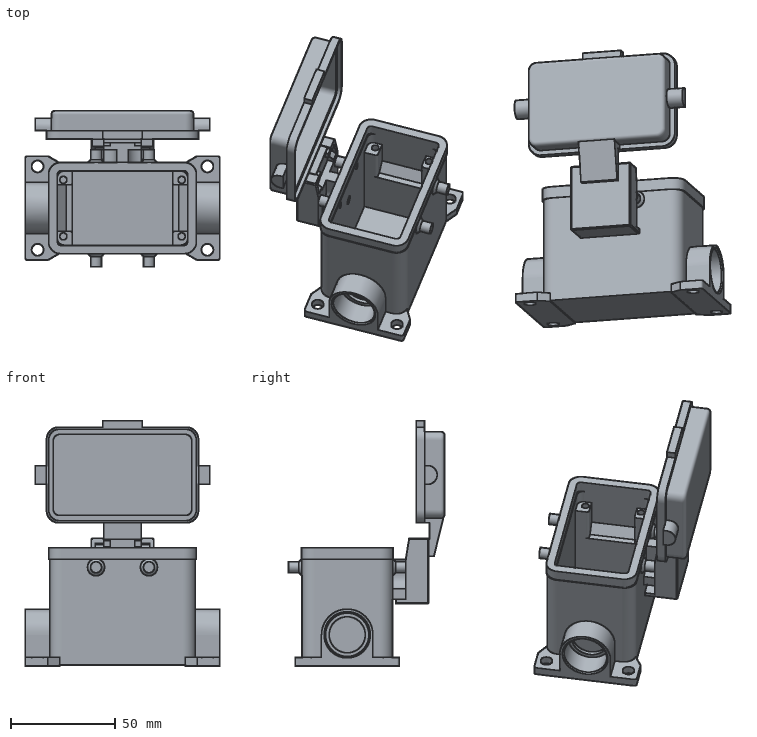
import cadquery as cq

BODY_LENGTH = 70.0
BODY_WIDTH = 43.5
BODY_BOTTOM = 0.45
BODY_HEIGHT = 56.8
RIM_HEIGHT = 5.6
RIM_END_OVERHANG = 0.5
RIM_SIDE_OVERHANG = 0.25
RIM_BOTTOM = BODY_HEIGHT - RIM_HEIGHT
RIM_LENGTH = BODY_LENGTH + 2 * RIM_END_OVERHANG
RIM_WIDTH = BODY_WIDTH + 2 * RIM_SIDE_OVERHANG
CORNER_RADIUS = 6.0

CAVITY_LENGTH = 62.5
CAVITY_WIDTH = 35.4
CAVITY_FLOOR = 3.5
CAVITY_RADIUS = 3.0
MOUTH_WIDTH = 36.0
MOUTH_RADIUS = 2.0

FOOT_SPAN_X = 93.5
FOOT_SPAN_Y = 50.0
FOOT_THICKNESS = 4.1
FOOT_SHOULDER_X = 35.8
FOOT_ROOT_X = 30.2
FOOT_CORNER_RADIUS = 1.2
FOOT_HOLE_DIAMETER = 5.6
FOOT_HOLE_X = 40.75
FOOT_HOLE_Y = 20.0

ENTRY_RADIUS = 12.35
ENTRY_Z = 15.0
ENTRY_BORE_RADIUS = 10.4
ENTRY_CHAMFER = 0.7
ENTRY_BORE_DEPTH = (FOOT_SPAN_X - BODY_LENGTH) / 2
KNOCKOUT_RADIUS = 8.65
KNOCKOUT_DEPTH = 2.0

POST_INNER_X = 24.0
POST_INNER_Y = 11.1
POST_TOP = 44.7
POST_EDGE_RADIUS = 1.2
POST_EMBEDDING = 2.0
POST_HOLE_DIAMETER = 3.4
POST_HOLE_DEPTH = 12.0
POST_HOLE_X = 28.4
POST_HOLE_Y = 13.55
BLOCK_TOP = 28.2
BLOCK_SLOPE_X = 27.0

PIN_X = 12.7
PIN_Z = 47.4
PIN_RADIUS = 2.65
PIN_COLLAR_RADIUS = 4.1
PIN_COLLAR_HEIGHT = 1.5
FRONT_PIN_END = 28.25
PIN_HOLE_DIAMETER = 3.0
PIN_HOLE_DEPTH = 3.0
SCREW_HOLE_DIAMETER = 4.2
SCREW_HOLE_DEPTH = 6.0
SCREW_HOLE_Z = 36.6

HINGE_HALF_WIDTH = 15.0
HINGE_BACK = 39.2
HINGE_FRONT = 28.1
HINGE_TOP_FRONT = 29.7
HINGE_SLOPE_Z = 51.7
HINGE_TOP = 61.4
HINGE_BOTTOM = 29.8
HINGE_LIP_FRONT = 23.3
HINGE_LIP_TOP = 32.0
HINGE_EDGE_CHAMFER = 0.6
HINGE_WALL = 2.0
HINGE_BAY_BACK = 36.0
HINGE_SHELF_FRONT_Z = 52.6
HINGE_SHELF_BACK_Z = 58.3
HINGE_BAY_TOP = 58.9
BRACKET_HALF_WIDTH = 2.85
BRACKET_FLARE_Z = 37.0
BRACKET_FLARE_RADIUS = 6.2

LID_CENTER_Z = 91.7
LID_FRONT = 33.05
LID_BACK = 46.75
LID_FLANGE_LENGTH = 73.0
LID_FLANGE_HEIGHT = 46.0
LID_FLANGE_DEPTH = 4.1
LID_BOX_LENGTH = 68.3
LID_BOX_HEIGHT = 41.6
LID_BOX_RADIUS = 4.0
LID_BACK_FILLET = 1.8
LID_SEAL_LENGTH = 70.8
LID_SEAL_HEIGHT = 43.8
LID_SEAL_DEPTH = 2.0
LID_SEAL_RADIUS = 5.0
LID_CAVITY_LENGTH = 66.4
LID_CAVITY_HEIGHT = 38.9
LID_CAVITY_RADIUS = 3.0
LID_WALL = 1.5
LID_TAB_WIDTH = 19.0
LID_TAB_TOP = 117.75
LUG_HALF_SPAN = 41.9
LUG_RADIUS = 4.5
LUG_AXIS_Y = 38.65
LID_FLANGE_BACK = LID_FRONT + LID_FLANGE_DEPTH
LID_FLANGE_BOTTOM = LID_CENTER_Z - LID_FLANGE_HEIGHT / 2

TONGUE_HALF_WIDTH = 9.0
TONGUE_ROOT_Y = 46.35
TONGUE_ROOT_Z = 71.8
TONGUE_TIP_Y = 41.65
TONGUE_TIP_Z = 52.6
TONGUE_FRONT = 39.4
KNUCKLE_EAR_TOP = 60.2
KNUCKLE_EAR_BOTTOM = 57.2
KNUCKLE_EAR_FRONT = 29.9
KNUCKLE_GAP_HALF_WIDTH = 5.9
KNUCKLE_TOP = 60.9
KNUCKLE_FRONT = 31.4


def block(x_range, y_range, z_range):
    """Box given by its lower and upper limit along each axis."""
    (x0, x1), (y0, y1), (z0, z1) = x_range, y_range, z_range
    return cq.Workplane("XY").box(x1 - x0, y1 - y0, z1 - z0, centered=False).translate((x0, y0, z0))


def upright_slab(length, width, radius, bottom, top):
    """Vertical prism with rounded corners, centred on the Z axis."""
    slab = cq.Workplane("XY", origin=(0, 0, bottom)).rect(length, width).extrude(top - bottom)
    return slab.edges("|Z").fillet(radius)


def lid_slab(length, height, radius, front, back):
    """Prism along Y with rounded corners, centred on the lid."""
    plane = cq.Workplane("XZ", origin=(0, back, LID_CENTER_Z))
    return plane.rect(length, height).extrude(back - front).edges("|Y").fillet(radius)


def extrude_along_x(points, half_width):
    """Prism of a (Y, Z) outline, symmetric about X = 0."""
    return cq.Workplane("YZ").polyline(points).close().extrude(half_width, both=True)


def mirrored_x(solid):
    """The solid together with its mirror image in the YZ plane."""
    return solid.union(solid.mirror("YZ"))


def mirrored_xy(solid):
    """The solid copied to all four quadrants."""
    pair = mirrored_x(solid)
    return pair.union(pair.mirror("XZ"))


def make_shell():
    body = upright_slab(BODY_LENGTH, BODY_WIDTH, CORNER_RADIUS, BODY_BOTTOM, BODY_HEIGHT)
    rim = upright_slab(RIM_LENGTH, RIM_WIDTH, CORNER_RADIUS, RIM_BOTTOM, BODY_HEIGHT)
    return body.union(rim)


def make_cavity():
    cavity = upright_slab(CAVITY_LENGTH, CAVITY_WIDTH, CAVITY_RADIUS, CAVITY_FLOOR, BODY_HEIGHT)
    mouth = upright_slab(CAVITY_LENGTH, MOUTH_WIDTH, MOUTH_RADIUS, RIM_BOTTOM, BODY_HEIGHT)
    return cavity.union(mouth)


def make_feet():
    end_x = FOOT_SPAN_X / 2
    side_y = FOOT_SPAN_Y / 2
    root_y = BODY_WIDTH / 2
    outline = [
        (end_x, -side_y),
        (end_x, side_y),
        (FOOT_SHOULDER_X, side_y),
        (FOOT_ROOT_X, root_y),
        (FOOT_ROOT_X, -root_y),
        (FOOT_SHOULDER_X, -side_y),
    ]
    plate = cq.Workplane("XY").polyline(outline).close().extrude(FOOT_THICKNESS)
    plate = plate.edges("|Z and >X").fillet(FOOT_CORNER_RADIUS)
    holes = (
        cq.Workplane("XY")
        .pushPoints([(FOOT_HOLE_X, FOOT_HOLE_Y), (FOOT_HOLE_X, -FOOT_HOLE_Y)])
        .circle(FOOT_HOLE_DIAMETER / 2)
        .extrude(FOOT_THICKNESS)
    )
    return mirrored_x(plate.cut(holes))


def make_entries():
    """Arched cable entry bosses on both end walls, reaching down to the feet."""
    start_x = CAVITY_LENGTH / 2
    end_x = FOOT_SPAN_X / 2
    barrel = (
        cq.Workplane("YZ", origin=(start_x, 0, ENTRY_Z))
        .circle(ENTRY_RADIUS)
        .extrude(end_x - start_x)
    )
    pedestal = block((start_x, end_x), (-ENTRY_RADIUS, ENTRY_RADIUS), (BODY_BOTTOM, ENTRY_Z))
    return mirrored_x(barrel.union(pedestal))


def make_entry_bores():
    """Blind stepped bores with a chamfered mouth."""
    mouth_x = FOOT_SPAN_X / 2
    bore_radius = ENTRY_BORE_RADIUS
    bottom_x = mouth_x - ENTRY_BORE_DEPTH
    end_x = bottom_x - KNOCKOUT_DEPTH
    profile = [
        (mouth_x, 0),
        (mouth_x, bore_radius + ENTRY_CHAMFER),
        (mouth_x - ENTRY_CHAMFER, bore_radius),
        (bottom_x, bore_radius),
        (bottom_x, KNOCKOUT_RADIUS),
        (end_x, KNOCKOUT_RADIUS),
        (end_x, 0),
    ]
    plane = cq.Workplane("XZ", origin=(0, 0, ENTRY_Z))
    bore = plane.polyline(profile).close().revolve(360, (0, 0), (1, 0))
    return mirrored_x(bore)


def make_posts():
    """Four corner posts with blind screw holes for the connector insert."""
    outer_x = CAVITY_LENGTH / 2 + POST_EMBEDDING
    outer_y = CAVITY_WIDTH / 2 + POST_EMBEDDING
    post = block((POST_INNER_X, outer_x), (POST_INNER_Y, outer_y), (CAVITY_FLOOR, POST_TOP))
    post = post.edges("|Z and <X and <Y").fillet(POST_EDGE_RADIUS)
    hole = (
        cq.Workplane("XY", origin=(POST_HOLE_X, POST_HOLE_Y, POST_TOP))
        .circle(POST_HOLE_DIAMETER / 2)
        .extrude(-POST_HOLE_DEPTH)
    )
    return mirrored_xy(post.cut(hole))


def make_inner_blocks():
    """Thickened end walls between the posts, sloping up to the wall at 45 degrees."""
    wall_x = CAVITY_LENGTH / 2
    slope_rise = wall_x - BLOCK_SLOPE_X
    profile = [
        (POST_INNER_X, CAVITY_FLOOR),
        (wall_x, CAVITY_FLOOR),
        (wall_x, BLOCK_TOP + slope_rise),
        (BLOCK_SLOPE_X, BLOCK_TOP),
        (POST_INNER_X, BLOCK_TOP),
    ]
    half_width = POST_INNER_Y + POST_EDGE_RADIUS
    prism = cq.Workplane("XZ").polyline(profile).close().extrude(half_width, both=True)
    return mirrored_x(prism)


def make_pin(end_distance):
    """Pin at +X pointing along -Y, with a conical collar at the wall."""
    wall_y = BODY_WIDTH / 2
    collar_y = wall_y + PIN_COLLAR_HEIGHT
    root_y = CAVITY_WIDTH / 2 + PIN_HOLE_DEPTH
    profile = [
        (0, -root_y),
        (PIN_COLLAR_RADIUS, -root_y),
        (PIN_COLLAR_RADIUS, -wall_y),
        (PIN_RADIUS, -collar_y),
        (PIN_RADIUS, -end_distance),
        (0, -end_distance),
    ]
    pin = cq.Workplane("XY").polyline(profile).close().revolve(360, (0, 0), (0, 1))
    return pin.translate((PIN_X, 0, PIN_Z))


def make_pins():
    front = make_pin(FRONT_PIN_END)
    rear = make_pin(HINGE_FRONT).mirror("XZ")
    return mirrored_x(front).union(mirrored_x(rear))


def make_rear_wall_holes():
    """Blind holes entering the rear wall from inside the cavity."""
    def hole(x, z, diameter, depth):
        plane = cq.Workplane("XZ", origin=(x, CAVITY_WIDTH / 2, z))
        return plane.circle(diameter / 2).extrude(-depth)

    pin_hole = hole(PIN_X, PIN_Z, PIN_HOLE_DIAMETER, PIN_HOLE_DEPTH)
    screw_hole = hole(0, SCREW_HOLE_Z, SCREW_HOLE_DIAMETER, SCREW_HOLE_DEPTH)
    return mirrored_x(pin_hole).union(screw_hole)


def make_bracket():
    """Upright web that flares through concave arcs into a wide foot."""
    web = BRACKET_HALF_WIDTH
    radius = BRACKET_FLARE_RADIUS
    foot = web + radius
    flare_top = BRACKET_FLARE_Z + radius
    arc_offset = radius * (1 - 0.5 ** 0.5)
    arc_x = web + arc_offset
    arc_z = BRACKET_FLARE_Z + arc_offset
    wall_y = BODY_WIDTH / 2
    return (
        cq.Workplane("XZ", origin=(0, HINGE_FRONT, 0))
        .moveTo(-foot, HINGE_LIP_TOP)
        .lineTo(foot, HINGE_LIP_TOP)
        .lineTo(foot, BRACKET_FLARE_Z)
        .threePointArc((arc_x, arc_z), (web, flare_top))
        .lineTo(web, RIM_BOTTOM)
        .lineTo(-web, RIM_BOTTOM)
        .lineTo(-web, flare_top)
        .threePointArc((-arc_x, arc_z), (-foot, BRACKET_FLARE_Z))
        .close()
        .extrude(HINGE_FRONT - wall_y)
    )


def make_hinge_housing():
    outline = [
        (HINGE_BACK, HINGE_BOTTOM),
        (HINGE_BACK, HINGE_TOP),
        (HINGE_TOP_FRONT, HINGE_TOP),
        (HINGE_FRONT, HINGE_SLOPE_Z),
        (HINGE_FRONT, HINGE_LIP_TOP),
        (HINGE_LIP_FRONT, HINGE_LIP_TOP),
        (HINGE_LIP_FRONT, HINGE_BOTTOM),
    ]
    shell = extrude_along_x(outline, HINGE_HALF_WIDTH)
    shell = shell.edges(">Y or (|Y and (>Z or <Z))").chamfer(HINGE_EDGE_CHAMFER)
    bay_outline = [
        (HINGE_FRONT, HINGE_SHELF_FRONT_Z),
        (HINGE_BAY_BACK, HINGE_SHELF_BACK_Z),
        (HINGE_BAY_BACK, HINGE_BAY_TOP),
        (HINGE_FRONT, HINGE_BAY_TOP),
    ]
    bays = extrude_along_x(bay_outline, HINGE_HALF_WIDTH - HINGE_WALL)
    tongue_x = (-TONGUE_HALF_WIDTH, TONGUE_HALF_WIDTH)
    notch = block(tongue_x, (HINGE_FRONT, HINGE_BACK), (RIM_BOTTOM, HINGE_TOP))
    return shell.cut(bays).cut(notch)


def make_lid():
    flange = lid_slab(LID_FLANGE_LENGTH, LID_FLANGE_HEIGHT, CORNER_RADIUS, LID_FRONT, LID_FLANGE_BACK)
    box = lid_slab(LID_BOX_LENGTH, LID_BOX_HEIGHT, LID_BOX_RADIUS, LID_FRONT, LID_BACK)
    box = box.faces(">Y").edges().fillet(LID_BACK_FILLET)
    half_tab = LID_TAB_WIDTH / 2
    tab = block((-half_tab, half_tab), (LID_FRONT, LID_FLANGE_BACK), (LID_CENTER_Z, LID_TAB_TOP))
    lug = (
        cq.Workplane("YZ", origin=(0, LUG_AXIS_Y, LID_CENTER_Z))
        .circle(LUG_RADIUS)
        .extrude(LUG_HALF_SPAN, both=True)
    )
    lug_x = (-LUG_HALF_SPAN, LUG_HALF_SPAN)
    lug_z = (LID_CENTER_Z - LUG_RADIUS, LID_CENTER_Z + LUG_RADIUS)
    lug_base = block(lug_x, (LID_FLANGE_BACK, LUG_AXIS_Y), lug_z)
    in_front_of_flange_back = block(lug_x, (LID_FRONT, LID_FLANGE_BACK), lug_z)
    lugs = lug.union(lug_base).cut(in_front_of_flange_back)
    seal_back = LID_FRONT + LID_SEAL_DEPTH
    seal = lid_slab(LID_SEAL_LENGTH, LID_SEAL_HEIGHT, LID_SEAL_RADIUS, LID_FRONT, seal_back)
    cavity_back = LID_BACK - LID_WALL
    cavity = lid_slab(LID_CAVITY_LENGTH, LID_CAVITY_HEIGHT, LID_CAVITY_RADIUS, LID_FRONT, cavity_back)
    return flange.union(box).union(tab).union(lugs).cut(seal).cut(cavity)


def make_tongue():
    """Tapered tongue below the lid and the knuckle it forms inside the hinge housing."""
    arm_outline = [
        (TONGUE_ROOT_Y, TONGUE_ROOT_Z),
        (TONGUE_TIP_Y, TONGUE_TIP_Z),
        (HINGE_BACK, TONGUE_TIP_Z),
        (HINGE_BACK, KNUCKLE_TOP),
        (TONGUE_FRONT, KNUCKLE_TOP),
        (TONGUE_FRONT, LID_FLANGE_BOTTOM),
        (LID_FLANGE_BACK, LID_FLANGE_BOTTOM),
        (LID_FLANGE_BACK, TONGUE_ROOT_Z),
    ]
    arm = extrude_along_x(arm_outline, TONGUE_HALF_WIDTH)
    knuckle = block(
        (-TONGUE_HALF_WIDTH, TONGUE_HALF_WIDTH),
        (KNUCKLE_FRONT, HINGE_BACK),
        (RIM_BOTTOM, KNUCKLE_TOP),
    )
    ear = block(
        (KNUCKLE_GAP_HALF_WIDTH, TONGUE_HALF_WIDTH),
        (KNUCKLE_EAR_FRONT, KNUCKLE_FRONT),
        (KNUCKLE_EAR_BOTTOM, KNUCKLE_EAR_TOP),
    )
    return arm.union(knuckle).union(mirrored_x(ear))


housing = make_shell().union(make_entries()).cut(make_cavity())
housing = housing.union(make_feet().cut(make_cavity()))
housing = housing.union(make_posts()).union(make_inner_blocks()).cut(make_entry_bores())
housing = housing.union(make_pins())

hinge = make_bracket().union(make_hinge_housing())
lid = make_lid().union(make_tongue())

result = housing.union(hinge).union(lid).cut(make_rear_wall_holes())